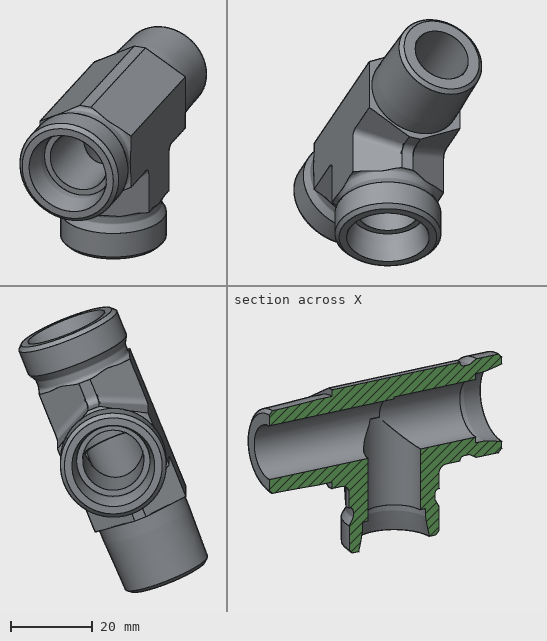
import cadquery as cq
import math

port_reach = 31.0
stud_reach = 36.0

hex_flats = 24.0
port_thread_d = 26.0
port_thread_r = port_thread_d / 2
port_length = 12.0
hex_end = port_reach - port_length
hex_back = 17.95
inner_corner_r = 2.0

groove_r = 23.7 / 2
port_chamfer = 1.0
thread_end = 7.4
thread_back_angle = 30.0
thread_back_blend_r = 0.75
shoulder_fillet_r = 1.0

mouth_r = 20.3 / 2
seat_r = 18.0 / 2
port_bore_r = 15.0 / 2
seat_cone_half_angle = 12.0
seat_depth = 7.5

stud_collar_r = 22.65 / 2
stud_thread_length = 13.95
stud_taper = 1 / 16
stud_chamfer = 0.9
stud_face_r = 9.9
stud_bore_r = 14.0 / 2


def hex_bar(start, end):
    """Hexagon along Z, flats facing +X and -X, corners on the Y axis cut flat at the thread radius."""
    bar_length = end - start
    corner_d = hex_flats / math.cos(math.radians(30))
    hexagon = (
        cq.Workplane("XY", origin=(0, 0, start))
        .polygon(6, corner_d)
        .extrude(bar_length)
        .rotate((0, 0, 0), (0, 0, 1), 30)
    )
    trim = (
        cq.Workplane("XY", origin=(0, 0, start))
        .rect(2 * corner_d, port_thread_d)
        .extrude(bar_length)
    )
    return hexagon.intersect(trim)


def port_outside():
    """Threaded port around Z with its face at z = port_reach, ending inside the hexagon."""
    thread_back = port_reach - thread_end
    back_angle = math.radians(thread_back_angle)
    groove_start = thread_back - (port_thread_r - groove_r) / math.tan(back_angle)
    mid_angle = back_angle / 2
    blend_start_z = groove_start - thread_back_blend_r * math.tan(mid_angle)
    blend_mid_z = blend_start_z + thread_back_blend_r * math.sin(mid_angle)
    blend_mid_r = groove_r + thread_back_blend_r * (1 - math.cos(mid_angle))
    blend_end_z = blend_start_z + thread_back_blend_r * math.sin(back_angle)
    blend_end_r = groove_r + thread_back_blend_r * (1 - math.cos(back_angle))
    profile = (
        cq.Workplane("XZ")
        .moveTo(0, 0)
        .lineTo(groove_r, 0)
        .lineTo(groove_r, blend_start_z)
        .threePointArc((blend_mid_r, blend_mid_z), (blend_end_r, blend_end_z))
        .lineTo(port_thread_r, thread_back)
        .lineTo(port_thread_r, port_reach - port_chamfer)
        .lineTo(port_thread_r - port_chamfer, port_reach)
        .lineTo(0, port_reach)
        .close()
    )
    return profile.revolve(360, (0, 0), (0, 1))


def shoulder_fillet():
    """Ring that blends the groove into the end of the hexagon, trimmed to the hexagon outline."""
    arc_reach = shoulder_fillet_r * (1 - math.sqrt(0.5))
    ring = (
        cq.Workplane("XZ")
        .moveTo(groove_r, hex_end)
        .lineTo(groove_r, hex_end + shoulder_fillet_r)
        .threePointArc(
            (groove_r + arc_reach, hex_end + arc_reach),
            (groove_r + shoulder_fillet_r, hex_end),
        )
        .close()
        .revolve(360, (0, 0), (0, 1))
    )
    return ring.intersect(hex_bar(hex_end, port_reach))


def port_inside():
    """Stepped bore of a port: conical mouth, tube seat and bore down to the origin."""
    cone_depth = (mouth_r - seat_r) / math.tan(math.radians(seat_cone_half_angle))
    profile = (
        cq.Workplane("XZ")
        .moveTo(0, 0)
        .lineTo(port_bore_r, 0)
        .lineTo(port_bore_r, port_reach - seat_depth)
        .lineTo(seat_r, port_reach - seat_depth)
        .lineTo(seat_r, port_reach - cone_depth)
        .lineTo(mouth_r, port_reach)
        .lineTo(0, port_reach)
        .close()
    )
    return profile.revolve(360, (0, 0), (0, 1))


def stud_outside():
    """Tapered stud around Z with its end face at z = stud_reach."""
    taper_start = stud_reach - stud_thread_length
    tip_r = stud_collar_r - (stud_thread_length - stud_chamfer) * stud_taper / 2
    profile = (
        cq.Workplane("XZ")
        .moveTo(0, 0)
        .lineTo(stud_collar_r, 0)
        .lineTo(stud_collar_r, taper_start)
        .lineTo(tip_r, stud_reach - stud_chamfer)
        .lineTo(stud_face_r, stud_reach)
        .lineTo(0, stud_reach)
        .close()
    )
    return profile.revolve(360, (0, 0), (0, 1))


def face_front(shape):
    """Turn a shape built along +Z to point along -Y."""
    return shape.rotate((0, 0, 0), (1, 0, 0), 90)


def face_back(shape):
    """Turn a shape built along +Z to point along +Y."""
    return shape.rotate((0, 0, 0), (1, 0, 0), -90)


def face_down(shape):
    """Turn a shape built along +Z to point along -Z."""
    return shape.rotate((0, 0, 0), (1, 0, 0), 180)


def is_inner_corner(edge):
    """The edges where run and branch meet lie on the 45 degree planes between their axes."""
    center = edge.Center()
    return center.z < 0 and math.isclose(abs(center.y), -center.z, abs_tol=6.7e-07)


run_hex = face_front(hex_bar(-hex_back, hex_end))
branch_hex = face_down(hex_bar(0, hex_end))
body = run_hex.union(branch_hex)
body = body.edges().filter(is_inner_corner).fillet(inner_corner_r)

port = port_outside().union(shoulder_fillet())
body = body.union(face_front(port)).union(face_down(port)).union(face_back(stud_outside()))

port_passage = port_inside()
stud_passage = cq.Workplane("XY").circle(stud_bore_r).extrude(stud_reach)
result = body.cut(face_front(port_passage)).cut(face_down(port_passage)).cut(face_back(stud_passage))